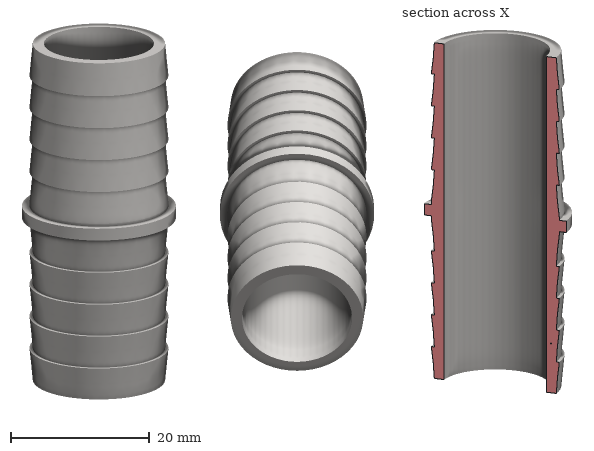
import cadquery as cq

total_length = 50.8
bore_diameter = 15.875
tip_diameter = 19.1
barb_diameter = 20.05
collar_diameter = 22.225
collar_thickness = 1.778

barbs_per_end = 5
neck_length = 0.381
half_length = total_length / 2
barb_length = (half_length - collar_thickness / 2 - neck_length) / barbs_per_end

bore_radius = bore_diameter / 2
tip_radius = tip_diameter / 2
barb_radius = barb_diameter / 2


def barbed_end():
    """Upper hose end: conical barbs that widen toward the middle of the part."""
    profile = cq.Workplane("XZ").moveTo(bore_radius, half_length)
    for index in range(barbs_per_end):
        barb_top = half_length - index * barb_length
        profile = profile.lineTo(tip_radius, barb_top)
        profile = profile.lineTo(barb_radius, barb_top - barb_length)
    profile = profile.lineTo(barb_radius, 0).lineTo(bore_radius, 0).close()
    return profile.revolve(360, (0, 0, 0), (0, 1, 0))


def collar():
    """Central stop ring, open through the bore."""
    ring = cq.Workplane("XY").workplane(offset=-collar_thickness / 2)
    return ring.circle(collar_diameter / 2).circle(bore_radius).extrude(collar_thickness)


upper_end = barbed_end()
lower_end = upper_end.mirror("XY")

result = upper_end.union(lower_end).union(collar())